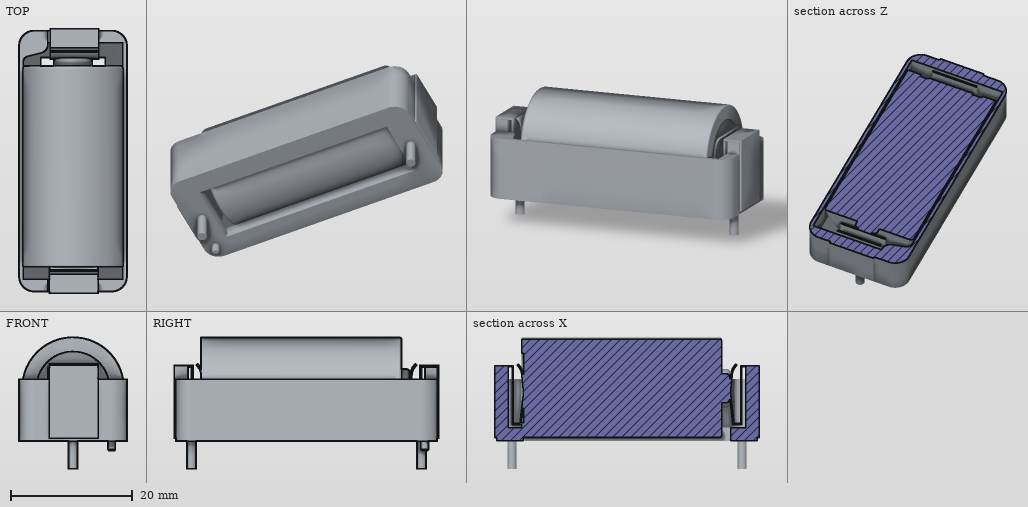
import cadquery as cq
import math


body_width = 17.78
overall_length = 43.53
overall_height = 21.65
body_height = 10.2
corner_radius = 2.54
sheet = 0.305
body_length = overall_length - 2 * sheet
side_wall = 0.7
end_wall = 2.0
cavity_width = body_width - 2 * side_wall
cavity_length = body_length - 2 * end_wall

window_width = 10.6
window_length = 34.0

tab_width = 8.26
clip_top = 12.46
tab_top = clip_top - sheet

pad_edge_x = -tab_width / 2
pad_upper_radius = 1.45
pad_lower_radius = 1.0
pad_slope = math.radians(14)
pad_low_y = 16.25

cell_radius = 8.38
cell_top = 17.08
cell_axis_z = cell_top - cell_radius
cell_positive_y = 15.65
cell_negative_y = -17.38
positive_fillet = 0.5
negative_fillet = 0.25
recess_diameter = 12.06
recess_depth = 0.4
pole_diameter = 6.35
pole_height = 1.3
pole_fillet = 0.6

floor = cell_axis_z - math.sqrt(cell_radius**2 - (window_width / 2) ** 2)

clip_width = 8.0
positive_clip_x = 0.26
negative_clip_x = 0.13
clip_bottom = 0.5
clip_outer_y = (overall_length - sheet) / 2
clip_inner_y = 18.77
clip_foot_z = 2.8
arm_foot_y = 17.5
contact_y = 16.9
contact_z = 8.0
tip_bend_y = 17.2
tip_bend_z = 11.0
tip_y = 18.0
tip_z = 12.58

pin_diameter = 1.52
pin_y = 18.92
pin_length = overall_height - cell_top
peg_diameter = 1.27
peg_x = 6.35
peg_y = 19.45
peg_length = 1.55
peg_chamfer = 0.2


def box_on(width, length, height, bottom):
    """Box centred on the Z axis, standing on the given height."""
    return cq.Workplane("XY", origin=(0, 0, bottom)).rect(width, length).extrude(height)


def make_pad():
    """Corner pad whose free edge is an arc, a gentle slope and a second arc."""
    wall_x = -cavity_width / 2
    sin_s = math.sin(pad_slope)
    cos_s = math.cos(pad_slope)
    half_turn = math.radians(45) - pad_slope / 2

    low_center_x = wall_x + pad_lower_radius
    low_end = (low_center_x - pad_lower_radius * sin_s, pad_low_y + pad_lower_radius * cos_s)
    low_mid = (
        low_center_x - pad_lower_radius * math.cos(half_turn),
        pad_low_y + pad_lower_radius * math.sin(half_turn),
    )

    high_center_x = pad_edge_x - pad_upper_radius
    high_start_x = high_center_x + pad_upper_radius * sin_s
    high_start_y = low_end[1] + (high_start_x - low_end[0]) * math.tan(pad_slope)
    high_center_y = high_start_y + pad_upper_radius * cos_s
    high_mid = (
        high_center_x + pad_upper_radius * math.cos(half_turn),
        high_center_y - pad_upper_radius * math.sin(half_turn),
    )

    back_y = cavity_length / 2
    return (
        cq.Workplane("XY", origin=(0, 0, floor))
        .moveTo(wall_x, back_y)
        .lineTo(wall_x, pad_low_y)
        .threePointArc(low_mid, low_end)
        .lineTo(high_start_x, high_start_y)
        .threePointArc(high_mid, (pad_edge_x, high_center_y))
        .lineTo(pad_edge_x, back_y)
        .close()
        .extrude(body_height - floor)
    )


def make_body():
    body = box_on(body_width, body_length, body_height, 0).edges("|Z").fillet(corner_radius)
    body = body.cut(box_on(cavity_width, cavity_length, body_height, floor))
    body = body.cut(box_on(window_width, window_length, body_height, 0))
    body = body.union(make_pad())
    for side in (1, -1):
        tab_y = side * (body_length - end_wall) / 2
        tab = box_on(tab_width, end_wall, tab_top - floor, floor).translate((0, tab_y, 0))
        body = body.union(tab)
    return body


def y_cylinder(radius, start_y, end_y):
    """Cylinder about the cell axis, from start_y up to end_y."""
    plane = cq.Workplane("XZ", origin=(0, end_y, cell_axis_z))
    return plane.circle(radius).extrude(end_y - start_y)


def make_cell():
    can = y_cylinder(cell_radius, cell_negative_y, cell_positive_y)
    can = can.faces(">Y").edges().fillet(positive_fillet)
    can = can.faces("<Y").edges().fillet(negative_fillet)
    recess = y_cylinder(recess_diameter / 2, cell_negative_y, cell_negative_y + recess_depth)
    pole = y_cylinder(pole_diameter / 2, cell_positive_y, cell_positive_y + pole_height)
    pole = pole.faces(">Y").edges().fillet(pole_fillet)
    return can.cut(recess).union(pole)


def make_clip(center_x):
    """Sheet clip hooked over the +Y tab, with a spring arm rising to the cell."""
    fold_z = clip_top - sheet / 2
    path = (
        cq.Workplane("YZ", origin=(center_x, 0, 0))
        .moveTo(clip_outer_y, clip_bottom)
        .lineTo(clip_outer_y, fold_z)
        .lineTo(clip_inner_y, fold_z)
        .lineTo(clip_inner_y, clip_foot_z)
        .lineTo(arm_foot_y, clip_foot_z)
        .lineTo(contact_y, contact_z)
        .lineTo(tip_bend_y, tip_bend_z)
        .tangentArcPoint((tip_y, tip_z), relative=False)
    )
    profile = cq.Workplane("XY", origin=(center_x, clip_outer_y, clip_bottom)).rect(clip_width, sheet)
    return profile.sweep(path, transition="right")


def make_pins():
    pins = (
        cq.Workplane("XY")
        .pushPoints([(0, pin_y), (0, -pin_y)])
        .circle(pin_diameter / 2)
        .extrude(-pin_length)
    )
    peg = cq.Workplane("XY").center(peg_x, peg_y).circle(peg_diameter / 2).extrude(-peg_length)
    return pins.union(peg.faces("<Z").chamfer(peg_chamfer))


positive_clip = make_clip(positive_clip_x)
negative_clip = make_clip(negative_clip_x).mirror("XZ")

result = make_body().union(make_cell()).union(make_pins())
result = result.union(positive_clip).union(negative_clip)